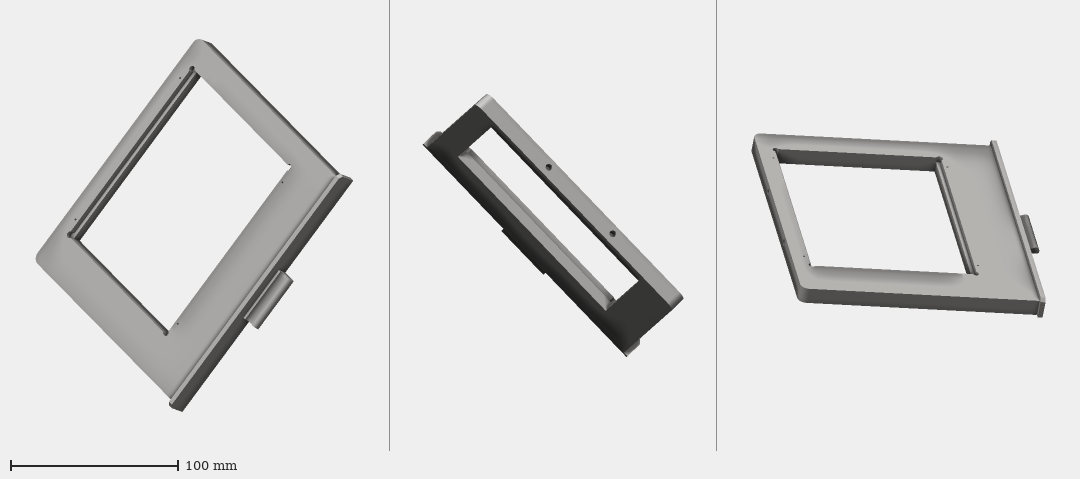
import cadquery as cq

TILT = 45.0

OVERALL_LENGTH = 159.5
HANDLE_LENGTH = 9.9
FLANGE_THICKNESS = 3.0
PLATE_LENGTH = OVERALL_LENGTH - HANDLE_LENGTH - FLANGE_THICKNESS
PLATE_WIDTH = 170.0
PLATE_THICKNESS = 10.0
PLATE_TOP = 4.3
PLATE_BOTTOM = PLATE_TOP - PLATE_THICKNESS
CORNER_RADIUS = 5.0

FLANGE_WIDTH = 176.1
FLANGE_HEIGHT = 12.9
FLANGE_BOTTOM = -5.5
FLANGE_CHAMFER = 2.0

WINDOW_X = 61.5
WINDOW_Y = 4.8
WINDOW_WIDTH = 127.6
OPENING_LENGTH = 98.3
LEDGE_WIDTH = 2.0
LEDGE_DEPTH = 4.0
RECESS_LENGTH = OPENING_LENGTH + 2 * LEDGE_WIDTH
RELIEF_DIAMETER = 4.0
RELIEF_INSET = 0.8

PIN_HOLE_DIAMETER = 1.3
PIN_HOLE_DEPTH = 4.0
PIN_HOLE_SPACING_X = 107.2
PIN_HOLE_SPACING_Y = 107.7

SIDE_HOLE_DIAMETER = 4.0
SIDE_HOLE_SPACING = 55.2
SIDE_HOLE_Z = -0.5
SIDE_HOLE_DEPTH = 8.0

HANDLE_WIDTH = 36.4
HANDLE_BOTTOM = -4.8
HANDLE_BASE_HEIGHT = 6.2
HANDLE_BASE_LENGTH = 1.6
GROOVE_LOW_X = 4.3
GROOVE_LOW_HEIGHT = 3.3
LIP_START_X = 6.5
LIP_HEIGHT = 4.1
LIP_RADIUS = 2.5
LIP_LOWER_RADIUS = 1.1


def make_plate():
    plate = cq.Workplane("XY").box(
        PLATE_LENGTH, PLATE_WIDTH, PLATE_THICKNESS, centered=(False, True, False)
    )
    plate = plate.edges("|Z and <X").fillet(CORNER_RADIUS)
    return plate.translate((0, 0, PLATE_BOTTOM))


def make_flange():
    flange = cq.Workplane("XY").box(
        FLANGE_THICKNESS, FLANGE_WIDTH, FLANGE_HEIGHT, centered=(False, True, False)
    )
    flange = flange.faces(">Z").edges("|X").chamfer(FLANGE_CHAMFER)
    return flange.translate((PLATE_LENGTH, 0, FLANGE_BOTTOM))


def make_handle():
    handle = (
        cq.Workplane("XZ")
        .lineTo(HANDLE_LENGTH, 0)
        .lineTo(HANDLE_LENGTH, LIP_HEIGHT)
        .lineTo(LIP_START_X, LIP_HEIGHT)
        .threePointArc((GROOVE_LOW_X, GROOVE_LOW_HEIGHT), (HANDLE_BASE_LENGTH, HANDLE_BASE_HEIGHT))
        .lineTo(0, HANDLE_BASE_HEIGHT)
        .close()
        .extrude(HANDLE_WIDTH / 2, both=True)
    )
    handle = handle.faces(">X").edges(">Z").fillet(LIP_RADIUS)
    handle = handle.faces(">X").edges("<Z").fillet(LIP_LOWER_RADIUS)
    return handle.translate((PLATE_LENGTH + FLANGE_THICKNESS, 0, HANDLE_BOTTOM))


def make_window():
    """Through opening, wider recess above its two ledges, and round corner reliefs."""
    top = cq.Workplane("XY", origin=(WINDOW_X, WINDOW_Y, PLATE_TOP))
    opening = top.rect(OPENING_LENGTH, WINDOW_WIDTH).extrude(-PLATE_THICKNESS)
    recess = top.rect(RECESS_LENGTH, WINDOW_WIDTH).extrude(-LEDGE_DEPTH)
    reliefs = (
        top.rect(
            RECESS_LENGTH - 2 * RELIEF_INSET, WINDOW_WIDTH - 2 * RELIEF_INSET, forConstruction=True
        )
        .vertices()
        .circle(RELIEF_DIAMETER / 2)
        .extrude(-LEDGE_DEPTH)
    )
    return opening.union(recess).union(reliefs)


def make_pin_holes():
    return (
        cq.Workplane("XY", origin=(WINDOW_X, WINDOW_Y, PLATE_TOP))
        .rect(PIN_HOLE_SPACING_X, PIN_HOLE_SPACING_Y, forConstruction=True)
        .vertices()
        .circle(PIN_HOLE_DIAMETER / 2)
        .extrude(-PIN_HOLE_DEPTH)
    )


def make_side_holes():
    return (
        cq.Workplane("YZ", origin=(0, 0, SIDE_HOLE_Z))
        .rarray(SIDE_HOLE_SPACING, 1.6, 2, 1)
        .circle(SIDE_HOLE_DIAMETER / 2)
        .extrude(SIDE_HOLE_DEPTH)
    )


body = make_plate().union(make_flange()).union(make_handle())
body = body.cut(make_window()).cut(make_pin_holes()).cut(make_side_holes())
result = body.rotate((0, 0, 0), (1, 0, 0), TILT)